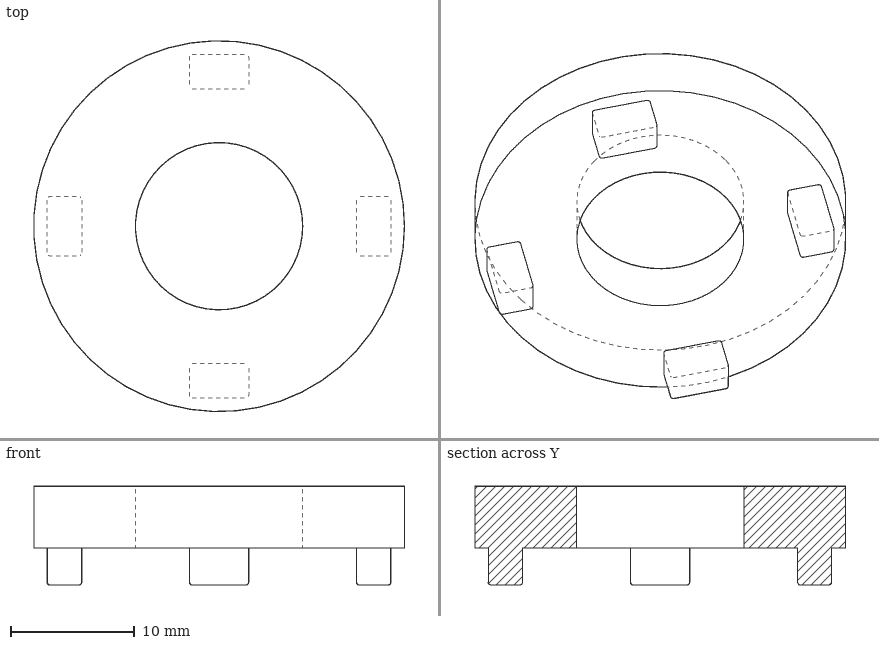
import cadquery as cq

RING_DIAMETER = 30.0
BORE_DIAMETER = 13.5
RING_THICKNESS = 5.0

LUG_COUNT = 4
LUG_WIDTH = 4.8
LUG_DEPTH = 2.8
LUG_HEIGHT = 3.0
LUG_CENTER_RADIUS = 12.5
LUG_EDGE_RADIUS = 0.25


def make_ring():
    """Flat ring with its underside on Z = 0."""
    return (
        cq.Workplane("XY")
        .circle(RING_DIAMETER / 2)
        .circle(BORE_DIAMETER / 2)
        .extrude(RING_THICKNESS)
    )


def make_lug(angle):
    """Block hanging below the ring, with rounded upright and bottom edges."""
    lug = (
        cq.Workplane("XY")
        .center(LUG_CENTER_RADIUS, 0)
        .rect(LUG_DEPTH, LUG_WIDTH)
        .extrude(-LUG_HEIGHT)
        .edges("|Z or <Z")
        .fillet(LUG_EDGE_RADIUS)
    )
    return lug.rotate((0, 0, 0), (0, 0, 1), angle)


result = make_ring()
for index in range(LUG_COUNT):
    result = result.union(make_lug(index * 360 / LUG_COUNT))